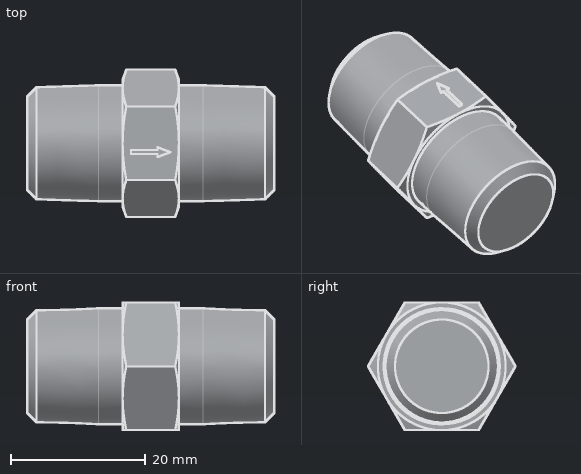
import cadquery as cq
import math

overall_length = 36.83

body_diameter = 17.3
taper_length = 10.6
taper_on_diameter = 1 / 16
end_chamfer = 1.4

hex_width = 8.35
hex_across_flats = 19.05
hex_across_corners = hex_across_flats / math.cos(math.radians(30))
hex_chamfer_angle = 20.0

arrow_length = 5.82
arrow_head_length = 1.9
arrow_head_width = 1.47
arrow_shaft_width = 0.6
arrow_y = -1.33
arrow_depth = 0.1


def make_body():
    """Turned body: straight in the middle, tapered and chamfered at both ends."""
    half_length = overall_length / 2
    body_radius = body_diameter / 2
    straight_half_length = half_length - taper_length
    rim_x = half_length - end_chamfer
    rim_radius = body_radius - (rim_x - straight_half_length) * taper_on_diameter / 2
    right_side = [
        (straight_half_length, body_radius),
        (rim_x, rim_radius),
        (half_length, rim_radius - end_chamfer),
        (half_length, 0),
    ]
    left_side = [(-x, radius) for x, radius in reversed(right_side)]
    profile = cq.Workplane("XY").polyline(left_side + right_side).close()
    return profile.revolve(360, (0, 0, 0), (1, 0, 0))


def make_hexagon():
    """Hexagon whose corners are trimmed by a cone on each side face."""
    half_width = hex_width / 2
    face_radius = hex_across_flats / 2
    corner_radius = hex_across_corners / 2
    chamfer_width = (corner_radius - face_radius) * math.tan(math.radians(hex_chamfer_angle))
    prism = cq.Workplane("YZ").polygon(6, hex_across_corners).extrude(half_width, both=True)
    envelope = (
        cq.Workplane("XY")
        .moveTo(-half_width, 0)
        .lineTo(-half_width, face_radius)
        .lineTo(-half_width + chamfer_width, corner_radius)
        .lineTo(half_width - chamfer_width, corner_radius)
        .lineTo(half_width, face_radius)
        .lineTo(half_width, 0)
        .close()
        .revolve(360, (0, 0, 0), (1, 0, 0))
    )
    return prism.intersect(envelope)


def make_arrow():
    """Arrow-shaped cutter that reaches down from the top flat."""
    tip_x = arrow_length / 2
    neck_x = tip_x - arrow_head_length
    half_shaft = arrow_shaft_width / 2
    half_head = arrow_head_width / 2
    outline = [
        (-tip_x, -half_shaft),
        (neck_x, -half_shaft),
        (neck_x, -half_head),
        (tip_x, 0),
        (neck_x, half_head),
        (neck_x, half_shaft),
        (-tip_x, half_shaft),
    ]
    top_flat = cq.Workplane("XY", origin=(0, arrow_y, hex_across_flats / 2))
    return top_flat.polyline(outline).close().extrude(-arrow_depth)


result = make_body().union(make_hexagon()).cut(make_arrow())